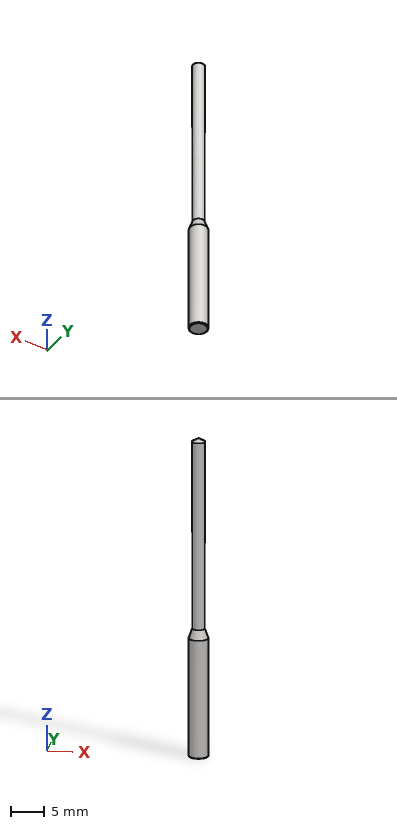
import cadquery as cq

total_length = 50.0
shank_radius = 3.0 / 2
neck_radius = 1.9 / 2
tip_radius = 2.0 / 2

shank_length = 18.6
shoulder_length = 1.5
tip_height = 0.55
end_chamfer = 0.15

shoulder_top = shank_length + shoulder_length
tip_base = total_length - tip_height

half_section = (
    cq.Workplane("XZ")
    .moveTo(0, 0)
    .lineTo(shank_radius - end_chamfer, 0)
    .lineTo(shank_radius, end_chamfer)
    .lineTo(shank_radius, shank_length)
    .lineTo(neck_radius, shoulder_top)
    .lineTo(tip_radius, tip_base)
    .lineTo(0, total_length)
    .close()
)

result = half_section.revolve(360, (0, 0, 0), (0, 1, 0))